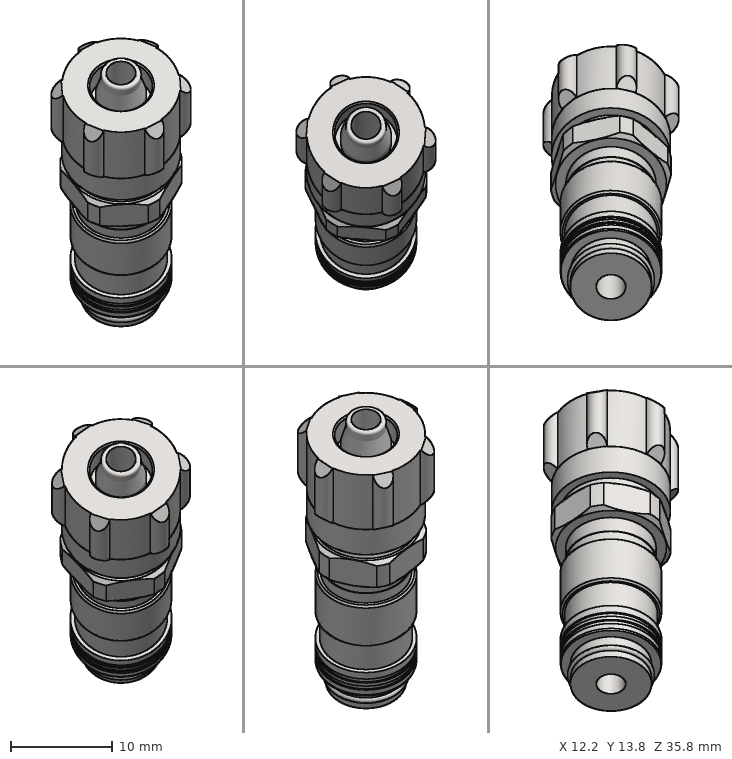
import cadquery as cq

total_height = 35.75
bore_diameter = 2.9

spigot_diameter = 8.0
bead_diameter = 8.58
bead_height = 0.65
bead_center_z = 1.15

ring_diameter = 10.0
ring_bottom = 2.65
ring_top = 5.9
ring_edge_height = 0.2
ring_edge_inset = 0.07
groove_diameter = 9.7
groove_height = 0.55
groove_bottoms = (3.5, 4.47)

lower_neck_diameter = 9.15
collar_diameter = ring_diameter
collar_bottom = 9.35
collar_top = 14.95
collar_chamfer = 0.2
middle_neck_diameter = 9.0
middle_neck_top = 16.25
upper_neck_diameter = 8.9

hex_bottom = 18.13
hex_top = 21.7
hex_across_flats = 11.0
hex_corner_diameter = 12.0
hex_chamfer_radial = 0.55
hex_chamfer_height = 0.32

nut_neck_diameter = 10.0
nut_neck_flare_height = 0.32
nut_neck_flare_width = 0.18

nut_diameter = 11.7
nut_skirt_diameter = 11.73
nut_bottom = 22.88
nut_top = 33.8
rib_bottom = 26.3
rib_count = 6
rib_radius = 1.0
rib_tip_radius = 6.9
rib_first_angle = 30.0

recess_diameter = 6.2
recess_mouth_diameter = 6.55
recess_chamfer = (recess_mouth_diameter - recess_diameter) / 2
recess_floor = 31.1

nozzle_tip_diameter = 3.97
nozzle_tip_bottom = 34.68
nozzle_tip_fillet = 0.25
nozzle_base_diameter = 5.0
nozzle_cone_bottom = 32.7


def cylinder(diameter, bottom, top):
    """Cylinder on the Z axis between two heights."""
    return cq.Workplane("XY").workplane(offset=bottom).circle(diameter / 2).extrude(top - bottom)


def revolve_profile(points):
    """Solid of revolution about Z from (radius, height) points."""
    return cq.Workplane("XZ").polyline(points).close().revolve(360, (0, 0, 0), (0, 1, 0))


def make_spigot():
    radius = spigot_diameter / 2
    half_bead = bead_height / 2
    return (
        cq.Workplane("XZ")
        .moveTo(0, 0)
        .lineTo(radius, 0)
        .lineTo(radius, bead_center_z - half_bead)
        .threePointArc((bead_diameter / 2, bead_center_z), (radius, bead_center_z + half_bead))
        .lineTo(radius, ring_bottom)
        .lineTo(0, ring_bottom)
        .close()
        .revolve(360, (0, 0, 0), (0, 1, 0))
    )


def make_grooved_ring():
    radius = ring_diameter / 2
    ring = revolve_profile([
        (0, ring_bottom),
        (radius - ring_edge_inset, ring_bottom),
        (radius, ring_bottom + ring_edge_height),
        (radius, ring_top),
        (0, ring_top),
    ])
    for bottom in groove_bottoms:
        top = bottom + groove_height
        groove = cylinder(ring_diameter, bottom, top).cut(cylinder(groove_diameter, bottom, top))
        ring = ring.cut(groove)
    return ring


def make_body():
    collar = cylinder(collar_diameter, collar_bottom, collar_top).edges().chamfer(collar_chamfer)
    return (
        cylinder(lower_neck_diameter, ring_top, collar_bottom)
        .union(collar)
        .union(cylinder(middle_neck_diameter, collar_top, middle_neck_top))
        .union(cylinder(upper_neck_diameter, middle_neck_top, hex_bottom))
    )


def make_hexagon():
    prism = (
        cq.Workplane("XY")
        .workplane(offset=hex_bottom)
        .polygon(6, hex_across_flats, circumscribed=True)
        .extrude(hex_top - hex_bottom)
    )
    outer = hex_corner_diameter / 2
    inner = outer - hex_chamfer_radial
    disc = revolve_profile([
        (0, hex_bottom),
        (inner, hex_bottom),
        (outer, hex_bottom + hex_chamfer_height),
        (outer, hex_top - hex_chamfer_height),
        (inner, hex_top),
        (0, hex_top),
    ])
    return prism.intersect(disc)


def make_nut_neck():
    radius = nut_neck_diameter / 2
    return revolve_profile([
        (0, hex_top),
        (radius + nut_neck_flare_width, hex_top),
        (radius, hex_top + nut_neck_flare_height),
        (radius, nut_bottom),
        (0, nut_bottom),
    ])


def make_rib(angle):
    """Round rib along Z whose two ends slope at 45 degrees to the nut surface."""
    slope = rib_tip_radius - nut_diameter / 2
    center = rib_tip_radius - rib_radius
    post = cylinder(2 * rib_radius, rib_bottom, nut_top).translate((center, 0, 0))
    inner = center - rib_radius
    envelope = (
        cq.Workplane("XZ")
        .polyline([
            (inner, rib_bottom),
            (nut_diameter / 2, rib_bottom),
            (rib_tip_radius, rib_bottom + slope),
            (rib_tip_radius, nut_top - slope),
            (nut_diameter / 2, nut_top),
            (inner, nut_top),
        ])
        .close()
        .extrude(rib_radius, both=True)
    )
    return post.intersect(envelope).rotate((0, 0, 0), (0, 0, 1), angle)


def make_nut():
    skirt = cylinder(nut_skirt_diameter, nut_bottom, rib_bottom)
    nut = skirt.union(cylinder(nut_diameter, rib_bottom, nut_top))
    for index in range(rib_count):
        nut = nut.union(make_rib(rib_first_angle + index * 360 / rib_count))
    recess_radius = recess_diameter / 2
    recess = revolve_profile([
        (0, recess_floor),
        (recess_radius, recess_floor),
        (recess_radius, nut_top - recess_chamfer),
        (recess_mouth_diameter / 2, nut_top),
        (0, nut_top),
    ])
    return nut.cut(recess)


def make_nozzle():
    tip = nozzle_tip_diameter / 2
    base = nozzle_base_diameter / 2
    nozzle = revolve_profile([
        (0, recess_floor),
        (base, recess_floor),
        (base, nozzle_cone_bottom),
        (tip, nozzle_tip_bottom),
        (tip, total_height),
        (0, total_height),
    ])
    return nozzle.faces(">Z").edges().fillet(nozzle_tip_fillet)


result = (
    make_spigot()
    .union(make_grooved_ring())
    .union(make_body())
    .union(make_hexagon())
    .union(make_nut_neck())
    .union(make_nut())
    .union(make_nozzle())
    .cut(cylinder(bore_diameter, 0, total_height))
)